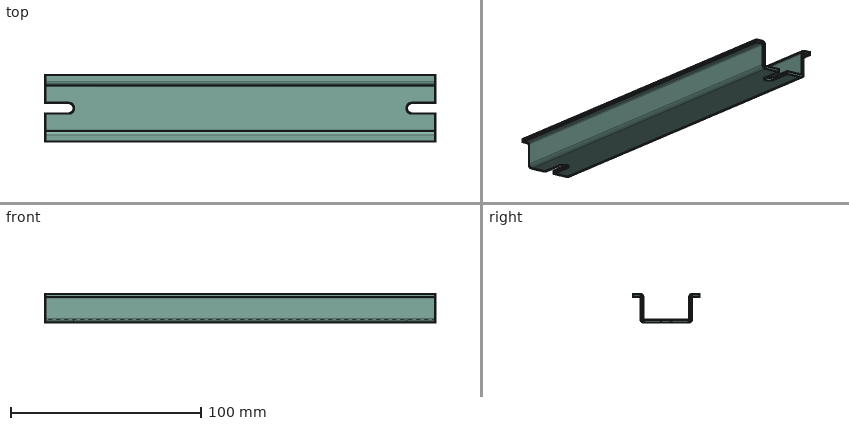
import cadquery as cq

length = 205.0
overall_width = 35.0
height = 15.0
thickness = 1.5
channel_width = 27.0
inner_bend_radius = 0.5
outer_bend_radius = inner_bend_radius + thickness

slot_width = 5.5
slot_depth = 15.0

half_length = length / 2
half_width = overall_width / 2
half_channel = channel_width / 2
half_cavity = half_channel - thickness
flange_bottom = height - thickness

pick_reach = 0.01


def bend_edges(y, z):
    """Selector for the two mirrored lengthwise edges at +/-y and height z."""
    left, right = [
        cq.selectors.BoxSelector(
            (-half_length, side * y - pick_reach, z - pick_reach),
            (half_length, side * y + pick_reach, z + pick_reach),
        )
        for side in (-1, 1)
    ]
    return left + right


def make_rail():
    """Sharp-cornered profile extruded along X, then rounded at each bend."""
    right_half = [
        (half_channel, 0),
        (half_channel, flange_bottom),
        (half_width, flange_bottom),
        (half_width, height),
        (half_cavity, height),
        (half_cavity, thickness),
    ]
    left_half = [(-y, z) for y, z in reversed(right_half)]
    rail = (
        cq.Workplane("YZ")
        .polyline(right_half + left_half)
        .close()
        .extrude(half_length, both=True)
    )
    bends = [
        (half_channel, 0, outer_bend_radius),
        (half_cavity, thickness, inner_bend_radius),
        (half_cavity, height, outer_bend_radius),
        (half_channel, flange_bottom, inner_bend_radius),
    ]
    for y, z, radius in bends:
        rail = rail.edges("|X").edges(bend_edges(y, z)).fillet(radius)
    return rail


def make_end_slots():
    """Round-ended cutters centred on the rail ends, so each leaves an open slot."""
    return (
        cq.Workplane("XY")
        .pushPoints([(-half_length, 0), (half_length, 0)])
        .slot2D(2 * slot_depth, slot_width)
        .extrude(thickness)
    )


result = make_rail().cut(make_end_slots())